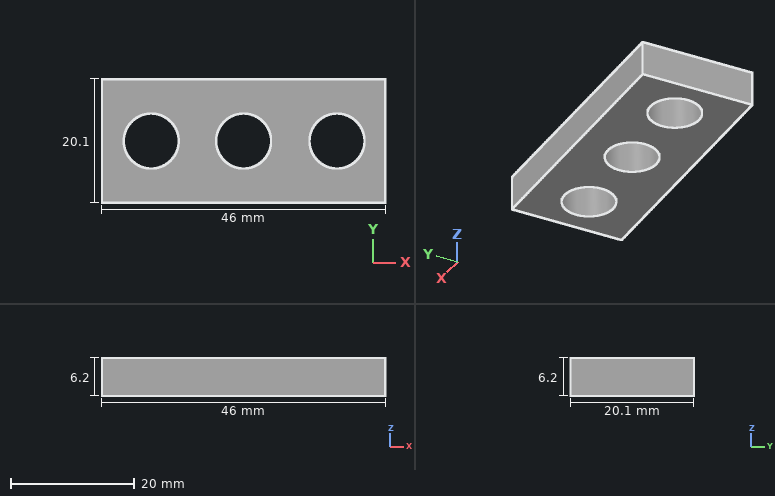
import cadquery as cq

plate_length = 45.97
plate_width = 20.07
plate_thickness = 6.2
hole_diameter = 8.89

left_hole_margin = 8.0
right_hole_margin = 7.838

left_hole_x = left_hole_margin - plate_length / 2
middle_hole_x = 0.0
right_hole_x = plate_length / 2 - right_hole_margin
hole_positions = [(x, 0) for x in (left_hole_x, middle_hole_x, right_hole_x)]


def make_plate():
    """Rectangular plate centred on the origin."""
    return cq.Workplane("XY").box(plate_length, plate_width, plate_thickness)


def drill_hole_row(plate):
    """Cut the through holes along the plate's long centre line."""
    top_face = plate.faces(">Z").workplane()
    return top_face.pushPoints(hole_positions).hole(hole_diameter)


result = drill_hole_row(make_plate())